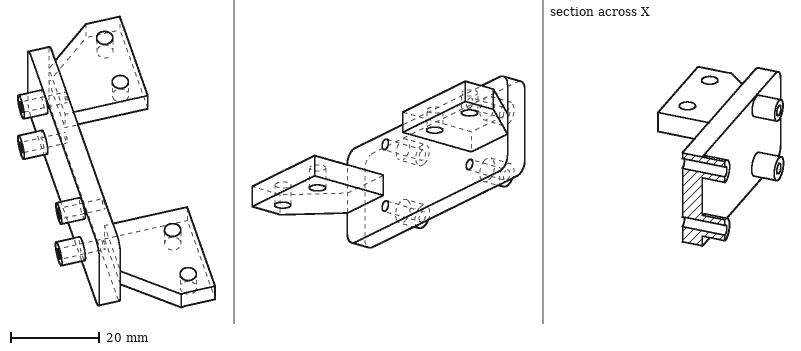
import cadquery as cq

PLATE_LENGTH = 60.0
PLATE_HEIGHT = 23.0
PLATE_THICKNESS = 5.0
PLATE_CORNER_RADIUS = 3.0

STANDOFF_LENGTH = 5.5
STANDOFF_DIAMETER = 5.5
SMALL_STANDOFF_DIAMETER = 5.0
STANDOFF_BORE = 2.4
STANDOFF_PITCH_X = 31.5
STANDOFF_PITCH_Z = 15.0
STANDOFF_X = STANDOFF_PITCH_X / 2
UPPER_STANDOFF_Z = (PLATE_HEIGHT - STANDOFF_DIAMETER) / 2
LOWER_STANDOFF_Z = UPPER_STANDOFF_Z - STANDOFF_PITCH_Z

WING_THICKNESS = 5.0
WING_DROP = 1.0
WING_DEPTH = 19.5
WING_INNER_X = 16.5
WING_OUTER_X = 39.9
WING_SIDE_LENGTH = 8.0
WING_HOLE_DIAMETER = 3.7
WING_HOLE_PITCH = 13.0
WING_HOLE_EDGE = 5.0
WING_HOLE_Y = WING_DEPTH - WING_HOLE_EDGE

LIP_WIDTH = 0.2
LIP_LENGTH = 0.7


def xz_cylinder(x, z, diameter, front_y, back_y):
    """Cylinder along Y between two Y positions."""
    section = cq.Workplane("XZ", origin=(x, front_y, z)).circle(diameter / 2)
    return section.extrude(front_y - back_y)


def wing(side, lip_width):
    """Wing with a sloped outer edge; side is -1 for left, +1 for right."""
    side_end_y = WING_DEPTH - WING_SIDE_LENGTH
    outline = [
        (WING_INNER_X, 0),
        (PLATE_LENGTH / 2, 0),
    ]
    if lip_width > 0:
        outline.append((WING_OUTER_X + lip_width, side_end_y))
        outline.append((WING_OUTER_X, side_end_y + LIP_LENGTH))
    else:
        outline.append((WING_OUTER_X, side_end_y))
    outline.append((WING_OUTER_X, WING_DEPTH))
    outline.append((WING_INNER_X, WING_DEPTH))

    outer_hole_x = WING_OUTER_X - WING_HOLE_EDGE
    holes = [(side * (outer_hole_x - offset), WING_HOLE_Y) for offset in (0, WING_HOLE_PITCH)]
    body = (
        cq.Workplane("XY")
        .polyline([(side * x, y) for x, y in outline])
        .close()
        .extrude(WING_THICKNESS / 2, both=True)
    )
    cutters = (
        cq.Workplane("XY")
        .pushPoints(holes)
        .circle(WING_HOLE_DIAMETER / 2)
        .extrude(WING_THICKNESS, both=True)
    )
    return body.cut(cutters).translate((0, 0, -WING_DROP))


plate = (
    cq.Workplane("XZ")
    .rect(PLATE_LENGTH, PLATE_HEIGHT)
    .extrude(PLATE_THICKNESS)
    .edges("|Y")
    .fillet(PLATE_CORNER_RADIUS)
)
result = plate.union(wing(-1, 0)).union(wing(1, LIP_WIDTH))

standoffs = [
    (-STANDOFF_X, UPPER_STANDOFF_Z, STANDOFF_DIAMETER),
    (STANDOFF_X, UPPER_STANDOFF_Z, SMALL_STANDOFF_DIAMETER),
    (-STANDOFF_X, LOWER_STANDOFF_Z, STANDOFF_DIAMETER),
    (STANDOFF_X, LOWER_STANDOFF_Z, STANDOFF_DIAMETER),
]
standoff_end_y = -PLATE_THICKNESS - STANDOFF_LENGTH
for x, z, diameter in standoffs:
    result = result.union(xz_cylinder(x, z, diameter, -PLATE_THICKNESS, standoff_end_y))

for x, z, _ in standoffs:
    result = result.cut(xz_cylinder(x, z, STANDOFF_BORE, 0, standoff_end_y))